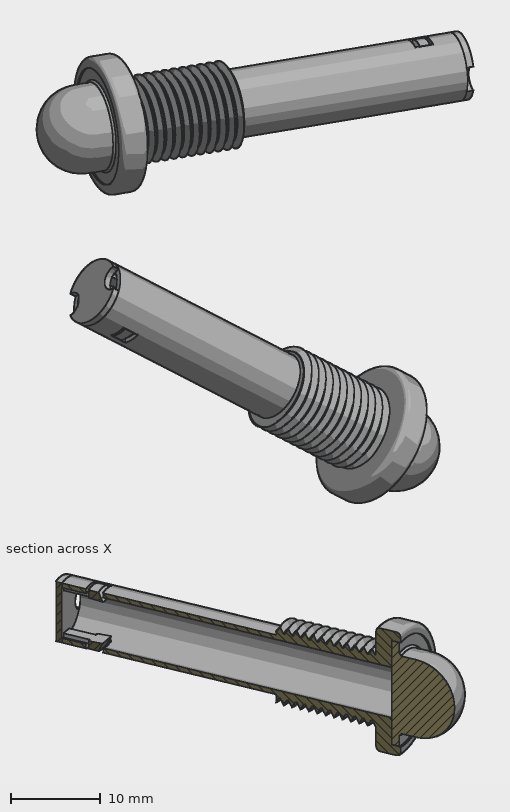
import cadquery as cq
import math


dome_radius = 5.0
dome_straight = 1.9
lens_flange_radius = 6.6
lens_setback = 0.2
lens_flange_thickness = 1.0
lens_fillet = 0.25

flange_radius = 7.8
flange_thickness = 3.2
flange_fillet = 0.6
rim_bevel_outer_radius = 7.5
front_face_radius = 7.25
thread_radius = dome_radius
thread_root_radius = 4.25
thread_length = 12.6
thread_pitch = 1.05
ridge_sink = 0.1
ridge_gap = 0.02
thread_start_angle = 110.0
barrel_radius = 3.9
bore_radius = 3.3
overall_length = 50.45

cap_thickness = 0.8
notch_radius = 1.45
arm_width = 1.35
arm_thickness = 0.6
window_width = 2.0
window_length = 2.1
window_to_rear = 3.85
hook_radius = 3.85
hook_gap = 0.3
hook_flat_length = 1.2
hook_ramp_drop = 1.25

dome_tip_y = -dome_straight - dome_radius
rear_y = dome_tip_y + overall_length
barrel_end_y = rear_y - cap_thickness
thread_end_y = flange_thickness + thread_length
lens_face_y = lens_setback
lens_seat_y = lens_face_y + lens_flange_thickness
window_rear_y = rear_y - window_to_rear
window_front_y = window_rear_y - window_length
hook_rear_y = window_rear_y - hook_gap
hook_flat_end_y = hook_rear_y - hook_flat_length


def rod(radius, y_start, y_end):
    """Solid cylinder along Y between two stations."""
    plane = cq.Workplane("XZ", origin=(0, y_start, 0))
    return plane.circle(radius).extrude(y_start - y_end)


def block(width, height, y_start, y_end, z_middle):
    """Box centred on X = 0 between two stations along Y."""
    box = cq.Workplane("XY").box(width, y_end - y_start, height)
    return box.translate((0, (y_start + y_end) / 2, z_middle))


def make_lens():
    foot_y = lens_face_y - lens_fillet
    shoulder = dome_radius * math.sqrt(0.5)
    outline = (
        cq.Workplane("XY")
        .moveTo(0, dome_tip_y)
        .threePointArc((shoulder, -dome_straight - shoulder), (dome_radius, -dome_straight))
        .lineTo(dome_radius, foot_y)
        .radiusArc((dome_radius + lens_fillet, lens_face_y), -lens_fillet)
        .lineTo(lens_flange_radius, lens_face_y)
        .lineTo(lens_flange_radius, lens_seat_y)
        .lineTo(0, lens_seat_y)
        .close()
    )
    return outline.revolve(360, (0, 0, 0), (0, 1, 0))


def make_thread():
    """Right-handed V ridge on a core, cut flat at both ends."""
    ridge_half_width = (thread_pitch - ridge_gap) / 2
    base_radius = thread_root_radius - ridge_sink
    path_length = thread_length + 2 * thread_pitch
    helix = cq.Wire.makeHelix(thread_pitch, path_length, base_radius)
    ridge = (
        cq.Workplane("XZ")
        .moveTo(base_radius, -ridge_half_width)
        .lineTo(thread_radius, 0)
        .lineTo(base_radius, ridge_half_width)
        .close()
        .sweep(cq.Workplane(obj=helix), isFrenet=True)
        .rotate((0, 0, 0), (0, 0, 1), thread_start_angle)
        .rotate((0, 0, 0), (1, 0, 0), -90)
        .translate((0, flange_thickness - thread_pitch, 0))
    )
    ridge = ridge.intersect(rod(2 * thread_radius, flange_thickness, thread_end_y))
    return rod(thread_root_radius, flange_thickness, thread_end_y).union(ridge)


def make_flange():
    arc_center_radius = flange_radius - flange_fillet
    bevel_start_y = flange_fillet - math.sqrt(
        flange_fillet**2 - (rim_bevel_outer_radius - arc_center_radius) ** 2
    )
    outline = (
        cq.Workplane("XY")
        .moveTo(0, 0)
        .lineTo(front_face_radius, 0)
        .lineTo(rim_bevel_outer_radius, bevel_start_y)
        .radiusArc((flange_radius, flange_fillet), -flange_fillet)
        .lineTo(flange_radius, flange_thickness - flange_fillet)
        .radiusArc((arc_center_radius, flange_thickness), -flange_fillet)
        .lineTo(0, flange_thickness)
        .close()
    )
    return outline.revolve(360, (0, 0, 0), (0, 1, 0))


def make_housing():
    housing = make_flange().union(make_thread()).union(rod(barrel_radius, flange_thickness, barrel_end_y))
    housing = housing.cut(rod(lens_flange_radius, 0, lens_seat_y))
    housing = housing.cut(rod(bore_radius, lens_seat_y, barrel_end_y))
    windows = block(window_width, 4 * barrel_radius, window_front_y, window_rear_y, 0)
    return housing.cut(windows)


def make_snap_arm(side):
    """Arm from the cap to a window, with a ramped hook; side is +1 for the +Z arm, -1 for -Z."""
    inner_z = bore_radius - arm_thickness
    arm = block(arm_width, arm_thickness, hook_flat_end_y, barrel_end_y, inner_z + arm_thickness / 2)
    arm = arm.intersect(rod(bore_radius, hook_flat_end_y, barrel_end_y))
    hook = (
        cq.Workplane("YZ", origin=(-window_width / 2, 0, 0))
        .moveTo(hook_rear_y, inner_z)
        .lineTo(hook_rear_y, barrel_radius)
        .lineTo(hook_flat_end_y, barrel_radius)
        .lineTo(hook_flat_end_y, hook_radius)
        .lineTo(window_front_y, hook_radius - hook_ramp_drop)
        .close()
        .extrude(window_width)
        .intersect(rod(hook_radius, window_front_y, window_rear_y))
    )
    arm = arm.union(hook)
    return arm if side > 0 else arm.mirror("XY")


def make_cap():
    cap = rod(barrel_radius, barrel_end_y, rear_y)
    notch_x = math.sqrt(barrel_radius**2 - notch_radius**2)
    for side in (-1, 1):
        notch = rod(notch_radius, barrel_end_y, rear_y).translate((side * notch_x, 0, 0))
        cap = cap.cut(notch).union(make_snap_arm(side))
    return cap


lens = make_lens()
housing = make_housing()
cap = make_cap()

result = cq.Compound.makeCompound([body.solids().val() for body in (lens, housing, cap)])